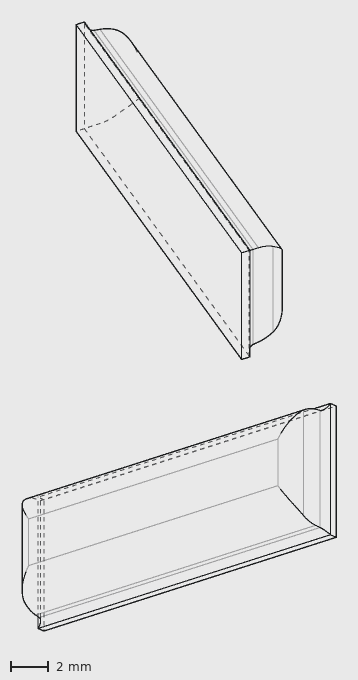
import cadquery as cq
import math

length = 20.32
height = 7.5
depth = 3.0
plate_thickness = 0.49

cove_radius = 0.4
side_crown_radius = 2.0
end_crown_radius = 1.0
wall_draft = 5.0


def domed_section(plane, width, crown_radius, span):
    """Extrude a coved and crowned section, symmetric about its depth axis."""
    draft = math.radians(wall_draft)
    half_width = width / 2

    def arc_point(center, radius, angle):
        return (center[0] + radius * math.cos(angle), center[1] + radius * math.sin(angle))

    cove_center = (half_width, plate_thickness + cove_radius)
    cove_start = (half_width, plate_thickness)
    cove_end = arc_point(cove_center, cove_radius, math.pi + draft)
    cove_middle = arc_point(cove_center, cove_radius, (1.5 * math.pi + math.pi + draft) / 2)

    crown_center_depth = depth - crown_radius
    crown_start_depth = crown_center_depth + crown_radius * math.sin(draft)
    wall_lean = (crown_start_depth - cove_end[1]) * math.tan(draft)
    crown_start = (cove_end[0] - wall_lean, crown_start_depth)
    crown_center = (crown_start[0] - crown_radius * math.cos(draft), crown_center_depth)
    crown_middle = arc_point(crown_center, crown_radius, (draft + math.pi / 2) / 2)
    crown_end = (crown_center[0], depth)

    def mirrored(point):
        return (-point[0], point[1])

    return (
        cq.Workplane(plane)
        .moveTo(-half_width, 0)
        .lineTo(half_width, 0)
        .lineTo(*cove_start)
        .threePointArc(cove_middle, cove_end)
        .lineTo(*crown_start)
        .threePointArc(crown_middle, crown_end)
        .lineTo(*mirrored(crown_end))
        .threePointArc(mirrored(crown_middle), mirrored(crown_start))
        .lineTo(*mirrored(cove_end))
        .threePointArc(mirrored(cove_middle), mirrored(cove_start))
        .close()
        .extrude(span / 2, both=True)
    )


cross_plane = cq.Plane(origin=(0, 0, 0), xDir=(0, 0, 1), normal=(-1, 0, 0))
cross_section = domed_section(cross_plane, height, side_crown_radius, length)

long_section = domed_section("XY", length, end_crown_radius, height)

result = cross_section.intersect(long_section)